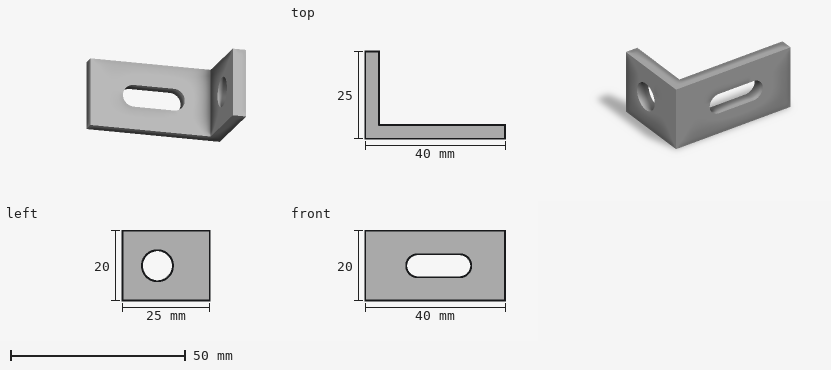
import cadquery as cq

long_leg = 40.0
short_leg = 25.0
height = 20.0
thickness = 4.0

slot_width = 6.5
slot_travel = 12.0
slot_center_x = 21.0

hole_diameter = 8.8
hole_edge_distance = 10.0

mid_height = height / 2


def make_angle():
    return (
        cq.Workplane("XY")
        .moveTo(0, 0)
        .lineTo(long_leg, 0)
        .lineTo(long_leg, thickness)
        .lineTo(thickness, thickness)
        .lineTo(thickness, short_leg)
        .lineTo(0, short_leg)
        .close()
        .extrude(height)
    )


def make_slot_cutter():
    return (
        cq.Workplane("XZ")
        .center(slot_center_x, mid_height)
        .slot2D(slot_travel + slot_width, slot_width)
        .extrude(-thickness)
    )


def make_hole_cutter():
    return (
        cq.Workplane("YZ")
        .center(short_leg - hole_edge_distance, mid_height)
        .circle(hole_diameter / 2)
        .extrude(thickness)
    )


result = make_angle().cut(make_slot_cutter()).cut(make_hole_cutter())